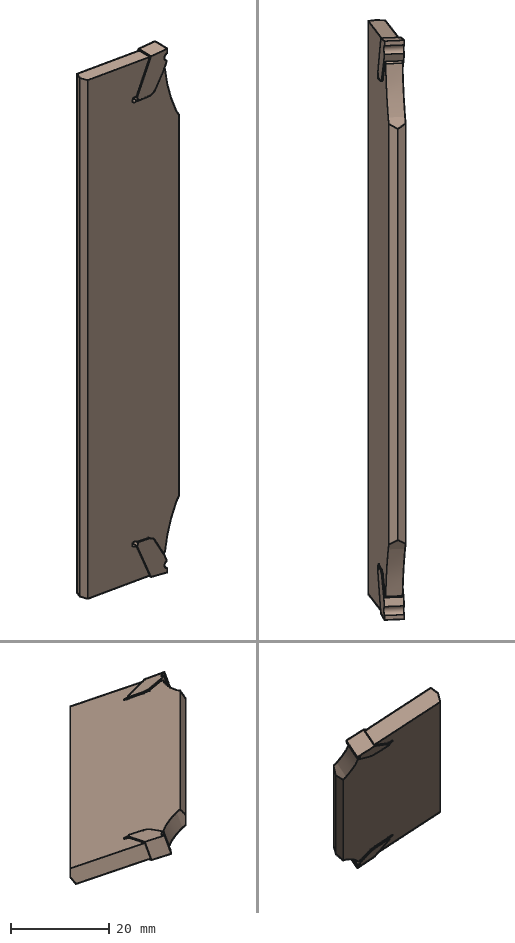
import cadquery as cq

tool_length = 121.2
blade_width = 25.0
blade_thickness = 3.5
insert_thickness = 4.1
edge_depth = 0.6
blade_drop = 0.6
half_length = tool_length / 2
blade_end = half_length - blade_drop

tip_y = 21.1
land_end_y = 19.9
shoulder_y = 16.9
shoulder_drop = 0.4
land_drop = 0.1
tip_height = 1.0
breaker_y = 20.4
breaker_drop = 1.8
heel_y = 21.0
heel_drop = 2.8
jaw_y = 20.2
jaw_drop = 4.5
bend_y = 17.7
bend_drop = 8.9
foot_y = 16.5
foot_drop = 9.5
seat_y = 12.9
seat_drop = 9.6

relief_radius = 0.6
relief_y = 12.9
relief_drop = 9.2

nose_y = 20.7
nose_drop = 4.8
curve_middle_y = 21.8
curve_middle_drop = 10.4
curve_end_y = 23.6
curve_end_drop = 15.4
hollow_end_drop = 17.6


def at(y, drop):
    """Point in the YZ plane, a given drop below the upper insert tip."""
    return (y, half_length - drop)


def extrude_centred(outline, thickness):
    return outline.close().extrude(thickness / 2, both=True)


def make_upper_insert():
    outline = (
        cq.Workplane("YZ")
        .moveTo(*at(tip_y, 0))
        .lineTo(*at(land_end_y, land_drop))
        .lineTo(*at(shoulder_y, shoulder_drop))
        .lineTo(*at(seat_y, seat_drop))
        .lineTo(*at(foot_y, foot_drop))
        .lineTo(*at(bend_y, bend_drop))
        .lineTo(*at(jaw_y, jaw_drop))
        .lineTo(*at(heel_y, heel_drop))
        .threePointArc(at(breaker_y, breaker_drop), at(tip_y, tip_height))
    )
    return extrude_centred(outline, insert_thickness).cut(make_upper_relief_hole())


def make_upper_relief_hole():
    return (
        cq.Workplane("YZ")
        .center(*at(relief_y, relief_drop))
        .circle(relief_radius)
        .extrude(insert_thickness / 2, both=True)
    )


def make_upper_pocket():
    """Insert seat together with the hollow in the long edge beside it."""
    outside_y = blade_width + edge_depth
    outline = (
        cq.Workplane("YZ")
        .moveTo(*at(shoulder_y, shoulder_drop))
        .lineTo(*at(seat_y, seat_drop))
        .lineTo(*at(foot_y, foot_drop))
        .lineTo(*at(bend_y, bend_drop))
        .lineTo(*at(jaw_y, jaw_drop))
        .lineTo(*at(nose_y, nose_drop))
        .threePointArc(
            at(curve_middle_y, curve_middle_drop), at(curve_end_y, curve_end_drop)
        )
        .lineTo(*at(blade_width, hollow_end_drop))
        .lineTo(*at(outside_y, hollow_end_drop))
        .lineTo(*at(outside_y, 0))
        .lineTo(*at(shoulder_y, 0))
    )
    return extrude_centred(outline, insert_thickness)


def make_blade():
    half_thickness = blade_thickness / 2
    section = [
        (0, 0),
        (half_thickness, edge_depth),
        (half_thickness, blade_width - edge_depth),
        (0, blade_width),
        (-half_thickness, blade_width - edge_depth),
        (-half_thickness, edge_depth),
    ]
    blade = cq.Workplane("XY").polyline(section).close().extrude(blade_end, both=True)
    for cutter in (make_upper_pocket(), make_upper_relief_hole()):
        blade = blade.cut(cutter).cut(cutter.mirror("XY"))
    return blade


blade = make_blade()
upper_insert = make_upper_insert()
inserts = []
for insert in (upper_insert, upper_insert.mirror("XY")):
    inserts.append(insert.val())

result = cq.Compound.makeCompound([blade.val(), *inserts])